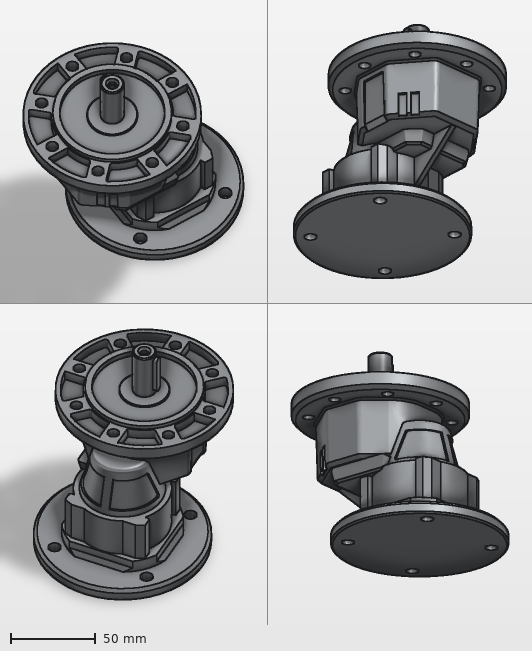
import cadquery as cq
import math

flange_dia = 105.0
output_y = -30.0

base_top = 8.1
hub_top = 16.2
body_top = 42.5
cone_top = 73.0
housing_bottom = 49.4
flare_bottom = 85.2
flange_bottom = 86.5
flange_top = 96.6
spigot_top = 99.2
shaft_top = 127.0

cutter_margin = 6.7

base_bottom_chamfer = 1.1
base_top_chamfer = 2.0
base_hole_dia = 7.5
base_hole_count = 4
base_hole_start = 45.0
bolt_circle_dia = 85.0
hub_dia = 72.0
hub_size_x = 62.0
hub_size_y = 59.0
hub_foot = 2.8

body_dia = 58.0
ear_half = 26.2
ear_bevel_x = 20.9
ear_bevel_y = 23.8
ear_inner_y = 18.1
ear_root_x = 23.0
ear_root_y = 17.1

cone_bottom_radius = 25.5
cone_slope = 0.26
cone_fillet = 3.8
panel_depth = 1.2
panel_bottom = 46.3
panel_top = 65.7
panel_rib_half = 2.8
panel_edge_bottom_y = 0.5
panel_edge_top_y = 4.7
panel_corner = 1.2

housing_half_x = 35.6
housing_half_y = 35.4
corner_x = 17.4
corner_y = 12.4
housing_corner_radius = 5.0
housing_back_radius = 24.3
housing_draft = 1.7
housing_chamfer = 2.4
flare_angle = 40.0

slot_width = 4.9
slot_pitch = 7.4
slot_shift = 2.2
slot_depth = 1.8
slot_bottom = 50.9
slot_top = 65.2

plate_width = 17.0
plate_top = 82.0
plate_floor_x = -34.3
plate_bend_z = 53.3
plate_foot_x = -32.0
plate_corner = 1.3

sump_bottom = 40.5
sump_left = -18.5
sump_right = 31.2
sump_front = -16.2
sump_back = 27.0
sump_left_bevel = 7.8
sump_right_bevel = 5.1
sump_corner_radius = 2.0
sump_draft = 14.0
sump_chamfer = 1.3

web_thickness = 3.2
web_low = (-29.0, 21.0)
web_high_y = -61.4
web_inner_y = -20.2
web_overlap = 1.1

flange_chamfer = 2.5
flange_hole_dia = 7.0
flange_hole_count = 8
spigot_dia = 70.0
recess_dia = 62.0
recess_floor = 95.7
seal_dia = 30.0
seal_chamfer = 0.4
pocket_depth = 6.5
pocket_inner_radius = 36.0
pocket_outer_radius = 49.4
pocket_rib_half = 6.0
pocket_corner = 1.6

shaft_dia = 14.0
shaft_chamfer = 0.8
key_width = 5.0
key_reach = 9.2
key_bottom = 99.3
key_top = 124.6
centre_mouth_dia = 7.5
centre_relief_dia = 5.3
centre_drill_dia = 4.2
centre_cone_depth = 2.0
centre_relief_depth = 4.0
centre_drill_depth = 13.5
centre_tip_depth = 1.2


def cylinder(dia, bottom, top):
    return cq.Workplane("XY").workplane(offset=bottom).circle(dia / 2).extrude(top - bottom)


def bolt_holes(count, dia, start_angle, bottom, top):
    plane = cq.Workplane("XY").workplane(offset=bottom)
    centres = plane.polarArray(bolt_circle_dia / 2, start_angle, 360, count)
    return centres.circle(dia / 2).extrude(top - bottom)


def four_way_outline(quarter):
    """Closed outline from the points of its +X +Y quarter, mirrored in X and in Y."""
    upper = quarter + [(-x, y) for x, y in reversed(quarter)]
    return upper + [(-x, -y) for x, y in upper]


def make_base():
    base = cylinder(flange_dia, 0, base_top)
    base = base.faces("<Z").chamfer(base_bottom_chamfer)
    base = base.faces(">Z").chamfer(base_top_chamfer)
    return base.cut(bolt_holes(base_hole_count, base_hole_dia, base_hole_start, 0, base_top))


def make_hub():
    """Round hub with four flats, each running out into a 45 degree foot."""
    foot = (
        cq.Workplane("XY").workplane(offset=base_top)
        .rect(hub_size_x + 2 * hub_foot, hub_size_y + 2 * hub_foot)
        .extrude(hub_foot, taper=45)
    )
    block = (
        cq.Workplane("XY").workplane(offset=base_top)
        .rect(hub_size_x, hub_size_y).extrude(hub_top - base_top)
    )
    return block.union(foot).intersect(cylinder(hub_dia, base_top, hub_top))


def make_body():
    """Round gear body with four bevelled ears at its corners."""
    quarter = [
        (ear_root_x, ear_root_y),
        (ear_half, ear_inner_y),
        (ear_half, ear_bevel_y),
        (ear_bevel_x, ear_half),
    ]
    ears = (
        cq.Workplane("XY").workplane(offset=hub_top)
        .polyline(four_way_outline(quarter)).close().extrude(body_top - hub_top)
    )
    return ears.union(cylinder(body_dia, hub_top, body_top))


def cone_radius(z):
    return cone_bottom_radius - cone_slope * (z - body_top)


def cone_frustum(bottom, top, inset=0.0):
    profile = [
        (0, bottom),
        (cone_radius(bottom) - inset, bottom),
        (cone_radius(top) - inset, top),
        (0, top),
    ]
    return cq.Workplane("XZ").polyline(profile).close().revolve(360, (0, 0), (0, 1))


def make_cone():
    cone = cone_frustum(body_top, cone_top).faces(">Z").edges().fillet(cone_fillet)
    shell = cone_frustum(panel_bottom, panel_top).cut(
        cone_frustum(panel_bottom, panel_top, panel_depth)
    )
    far_y = cone_bottom_radius + cutter_margin
    outline = [
        (panel_edge_bottom_y, panel_bottom),
        (far_y, panel_bottom),
        (far_y, panel_top),
        (panel_edge_top_y, panel_top),
    ]
    window = (
        cq.Workplane("YZ").workplane(offset=panel_rib_half)
        .polyline(outline).close().extrude(cone_bottom_radius)
        .edges("|X").fillet(panel_corner)
    )
    panel = shell.intersect(window)
    return cone.cut(panel).cut(panel.mirror("YZ"))


def bevel_below(solid, height):
    """Add a 45 degree bevel of the given height under the lowest face of a solid."""
    bottom = solid.faces("<Z").workplane()
    bevel = bottom.add(solid.faces("<Z").wires()).toPending().extrude(height, combine=False, taper=45)
    return solid.union(bevel)


def octagon():
    """Plan of the housing where it meets the flare under the flange."""
    quarter = [(housing_half_x, corner_y), (corner_x, housing_half_y)]
    points = four_way_outline(quarter)
    plan = cq.Sketch().polygon(points + points[:1])
    plan = plan.vertices(">Y").fillet(housing_back_radius).reset()
    plan = plan.vertices("<Y or <X or >X").fillet(housing_corner_radius)
    return plan.reset()


def make_slots():
    """Shallow upright slots, two on each slanted face of the -Y side."""
    run_x = housing_half_x - corner_x
    run_y = housing_half_y - corner_y
    run = math.hypot(run_x, run_y)
    height = slot_top - slot_bottom
    draft = math.tan(math.radians(housing_draft))
    face_inset = draft * (flare_bottom - (slot_top + slot_bottom) / 2)
    mid_x = -(housing_half_x + corner_x) / 2
    mid_y = -(housing_half_y + corner_y) / 2
    face = cq.Plane(
        origin=(mid_x, mid_y, slot_bottom + height / 2),
        xDir=(run_x / run, -run_y / run, 0),
        normal=(-run_y / run, -run_x / run, 0),
    )
    centres = [(-slot_shift - slot_pitch / 2, 0), (-slot_shift + slot_pitch / 2, 0)]
    left = (
        cq.Workplane(face).workplane(offset=-face_inset - slot_depth)
        .pushPoints(centres).rect(slot_width, height).extrude(2 * slot_depth)
    )
    return left.union(left.mirror("YZ"))


def make_plate_recess():
    outer_x = -housing_half_x - cutter_margin
    profile = [
        (outer_x, plate_top),
        (plate_floor_x, plate_top),
        (plate_floor_x, plate_bend_z),
        (plate_foot_x, housing_bottom),
        (outer_x, housing_bottom),
    ]
    recess = cq.Workplane("XZ").polyline(profile).close().extrude(plate_width / 2, both=True)
    return recess.faces(">Z").edges("|X").fillet(plate_corner)


def make_housing():
    """Drafted octagonal housing, centred on the output axis; the bevel finishes its lower edge."""
    top_plane = cq.Workplane("XY").workplane(offset=flare_bottom)
    bevel_top = housing_bottom + housing_chamfer
    wall_drop = bevel_top - flare_bottom
    housing = top_plane.placeSketch(octagon()).extrude(wall_drop, taper=housing_draft)
    housing = bevel_below(housing, housing_chamfer)
    flare_height = flange_bottom - flare_bottom
    flare = top_plane.placeSketch(octagon()).extrude(flare_height, taper=-flare_angle)
    return housing.cut(make_slots()).cut(make_plate_recess()).union(flare)


def make_sump():
    outline = [
        (sump_left, sump_back),
        (sump_left, sump_front + sump_left_bevel),
        (sump_left + sump_left_bevel, sump_front),
        (sump_right - sump_right_bevel, sump_front),
        (sump_right, sump_front + sump_right_bevel),
        (sump_right, sump_back),
    ]
    plan = cq.Sketch().polygon(outline + outline[:1]).vertices().fillet(sump_corner_radius)
    sump = (
        cq.Workplane("XY").workplane(offset=housing_bottom)
        .placeSketch(plan).extrude(sump_bottom + sump_chamfer - housing_bottom, taper=sump_draft)
    )
    return bevel_below(sump, sump_chamfer)


def make_web():
    low_y, low_z = web_low
    web_top = housing_bottom + web_overlap
    outline = [
        (web_inner_y, low_z),
        (low_y, low_z),
        (web_high_y, housing_bottom),
        (web_high_y, web_top),
        (web_inner_y, web_top),
    ]
    return cq.Workplane("YZ").polyline(outline).close().extrude(web_thickness / 2, both=True)


def make_pockets():
    """Eight ring-sector pockets, one between each pair of neighbouring bolt holes."""
    floor = flange_top - pocket_depth
    ring = cylinder(2 * pocket_outer_radius, floor, flange_top)
    ring = ring.cut(cylinder(2 * pocket_inner_radius, floor, flange_top))
    reach = flange_dia
    diagonal_offset = pocket_rib_half * math.sqrt(2)
    tip = pocket_rib_half + diagonal_offset
    wedge = (
        cq.Workplane("XY").workplane(offset=floor)
        .polyline([(tip, pocket_rib_half), (reach, pocket_rib_half), (reach, reach - diagonal_offset)])
        .close().extrude(pocket_depth)
    )
    sector = ring.intersect(wedge)
    sector = sector.edges("|Z").edges("not <Y").fillet(pocket_corner)
    pair = sector.union(sector.mirror("XZ"))
    pockets = pair
    for turn in (90, 180, 270):
        pockets = pockets.union(pair.rotate((0, 0, 0), (0, 0, 1), turn))
    return pockets


def make_output_flange():
    flange = cylinder(flange_dia, flange_bottom, flange_top).faces("<Z").chamfer(flange_chamfer)
    flange = flange.cut(make_pockets())
    flange = flange.cut(bolt_holes(flange_hole_count, flange_hole_dia, 0, flange_bottom, flange_top))
    flange = flange.union(cylinder(spigot_dia, flange_top, spigot_top))
    flange = flange.cut(cylinder(recess_dia, recess_floor, spigot_top))
    seal = cylinder(seal_dia, recess_floor, flange_top).faces(">Z").chamfer(seal_chamfer)
    return flange.union(seal)


def make_shaft():
    shaft = cylinder(shaft_dia, recess_floor, shaft_top).faces(">Z").chamfer(shaft_chamfer)
    key = (
        cq.Workplane("YZ").center(0, (key_bottom + key_top) / 2)
        .slot2D(key_top - key_bottom, key_width, 90).extrude(-key_reach)
    )
    return shaft.union(key)


def make_centre_hole():
    relief_z = shaft_top - centre_relief_depth
    drill_z = shaft_top - centre_drill_depth
    profile = [
        (0, shaft_top),
        (centre_mouth_dia / 2, shaft_top),
        (centre_relief_dia / 2, shaft_top - centre_cone_depth),
        (centre_relief_dia / 2, relief_z),
        (centre_drill_dia / 2, relief_z),
        (centre_drill_dia / 2, drill_z),
        (0, drill_z - centre_tip_depth),
    ]
    return cq.Workplane("XZ").polyline(profile).close().revolve(360, (0, 0), (0, 1))


input_side = make_base().union(make_hub()).union(make_body()).union(make_cone()).union(make_web())
output_side = make_housing().union(make_sump()).union(make_output_flange())
output_side = output_side.union(make_shaft()).cut(make_centre_hole())
result = input_side.union(output_side.translate((0, output_y, 0)))